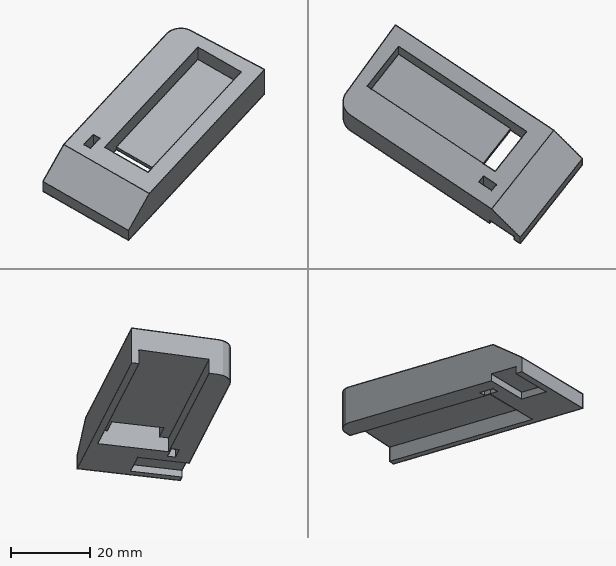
import cadquery as cq

width = 26.8
length = 58.45
height = 10.0
back_drop = 1.05
corner_radius = 4.5

slope_length = 8.95
front_height = 4.05

pocket_x = 8.95
pocket_y = 14.3
pocket_width = 13.55
pocket_length = 40.0
pocket_depth = 4.95
opening_length = 4.95

channel_height = 4.0
channel_margin = 2.45
channel_x = pocket_x - channel_margin
channel_width = pocket_width + 2 * channel_margin

slot_x = 4.15
slot_y = 11.9
slot_width = 2.05
slot_length = 4.05

notch_y = 1.9
notch_length = 7.6
notch_height = 1.9
notch_depth = width / 2


def block(x, y, z, size_x, size_y, size_z):
    """Box with its lowest corner at (x, y, z)."""
    return cq.Workplane("XY").box(size_x, size_y, size_z, centered=False).translate((x, y, z))


def make_body():
    """Plate with a slanted back, one rounded corner and a sloped front."""
    body = (
        cq.Workplane("XY")
        .polyline([(0, 0), (width, 0), (width, length), (0, length - back_drop)])
        .close()
        .extrude(height)
    )
    body = body.edges("|Z").edges("<X").edges(">Y").fillet(corner_radius)
    front_wedge = (
        cq.Workplane("YZ")
        .polyline([(0, front_height), (slope_length, height), (0, height)])
        .close()
        .extrude(width)
    )
    return body.cut(front_wedge)


pocket = block(pocket_x, pocket_y, height - pocket_depth, pocket_width, pocket_length, pocket_depth)
floor_opening = block(pocket_x, pocket_y, 0, pocket_width, opening_length, height)
channel = block(channel_x, pocket_y, 0, channel_width, length - pocket_y, channel_height)
slot = block(slot_x, slot_y, 0, slot_width, slot_length, height)
side_notch = block(0, notch_y, 0, notch_depth, notch_length, notch_height)

result = make_body().cut(pocket).cut(floor_opening).cut(channel).cut(slot).cut(side_notch)